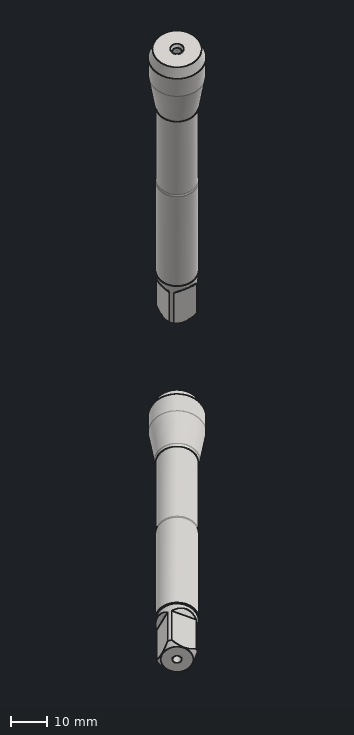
import cadquery as cq
import math

total_length = 110.0
head_chamfer_base = 106.6
head_taper_top = 99.3
head_taper_base = 87.1
neck_top = 86.1
shank_step_top = 55.7
shank_top = 55.0
shank_base = 17.5
collar_top = 17.2
square_top = 14.2

head_top_diameter = 13.6
head_diameter = 16.2
head_taper_diameter = 12.8
neck_diameter = 11.9
shank_diameter = 12.2
collar_diameter = 11.9

square_width = 9.2
end_chamfer = 1.4
runout_rise_per_depth = 1.0

bore_diameter = 2.5
countersink_diameter = 3.7
countersink_angle = 60.0


def turned_body():
    """Head, neck, shank and collar revolved about Z."""
    collar_radius = collar_diameter / 2
    profile = [
        (0, 0),
        (collar_radius - end_chamfer, 0),
        (collar_radius, end_chamfer),
        (collar_radius, collar_top),
        (shank_diameter / 2, shank_base),
        (shank_diameter / 2, shank_top),
        (neck_diameter / 2, shank_step_top),
        (neck_diameter / 2, neck_top),
        (head_taper_diameter / 2, head_taper_base),
        (head_diameter / 2, head_taper_top),
        (head_diameter / 2, head_chamfer_base),
        (head_top_diameter / 2, total_length),
        (0, total_length),
    ]
    return cq.Workplane("XZ").polyline(profile).close().revolve(360, (0, 0), (0, 1))


def flat_cutter():
    """Wedge that cuts one flat of the square, with its sloping runout."""
    flat = square_width / 2
    outside = shank_diameter / 2
    runout_top = square_top + runout_rise_per_depth * (outside - flat)
    profile = [(flat, 0), (outside, 0), (outside, runout_top), (flat, square_top)]
    return cq.Workplane("XZ").polyline(profile).close().extrude(shank_diameter / 2, both=True)


def cut_square(body):
    """Cut four equal flats around the axis."""
    flat_count = 4
    for index in range(flat_count):
        angle = index * 360 / flat_count
        body = body.cut(flat_cutter().rotate((0, 0, 0), (0, 0, 1), angle))
    return body


def axial_hole():
    """Through bore that opens into a conical countersink at the head."""
    bore_radius = bore_diameter / 2
    countersink_radius = countersink_diameter / 2
    half_angle = math.radians(countersink_angle / 2)
    countersink_depth = (countersink_radius - bore_radius) / math.tan(half_angle)
    profile = [
        (0, 0),
        (bore_radius, 0),
        (bore_radius, total_length - countersink_depth),
        (countersink_radius, total_length),
        (0, total_length),
    ]
    return cq.Workplane("XZ").polyline(profile).close().revolve(360, (0, 0), (0, 1))


result = cut_square(turned_body()).cut(axial_hole())